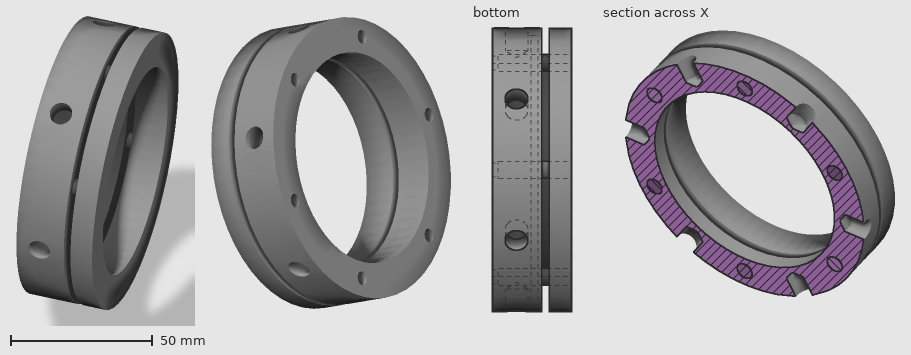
import cadquery as cq
import math

ring_length = 28.0
outer_radius = 50.0
bore_radius = 37.5

slot_width = 2.5
slot_wall = 2.5
web_thickness = 1.5
outer_slot_start = 17.5
inner_slot_start = outer_slot_start - web_thickness - slot_width
outer_slot_floor = bore_radius + slot_wall
inner_slot_floor = outer_radius - slot_wall

screw_count = 6
screw_circle_radius = 43.5
screw_diameter = 6.0
screw_recess = 2.0
access_hole_diameter = 4.9
first_screw_angle = 90.0

spanner_hole_count = 6
spanner_hole_diameter = 8.0
spanner_hole_x = 8.5
spanner_hole_depth = 8.0
drill_point_angle = 118.0
first_spanner_angle = first_screw_angle + 180.0 / screw_count


def tube(start, length, inner_radius, tube_radius):
    """Hollow cylinder around the X axis."""
    return cq.Workplane("YZ", origin=(start, 0, 0)).circle(tube_radius).circle(inner_radius).extrude(length)


def axial_rod(start, end, diameter, angle):
    """Cylinder parallel to X on the screw circle."""
    y = screw_circle_radius * math.cos(math.radians(angle))
    z = screw_circle_radius * math.sin(math.radians(angle))
    return cq.Workplane("YZ", origin=(start, y, z)).circle(diameter / 2).extrude(end - start)


def spanner_drill(angle):
    """Radial drill shape with a conical point, reaching in from the outer surface."""
    radius = spanner_hole_diameter / 2
    shoulder = outer_radius - spanner_hole_depth
    point_length = radius / math.tan(math.radians(drill_point_angle / 2))
    return (
        cq.Workplane("XY", origin=(spanner_hole_x, 0, 0))
        .moveTo(0, shoulder - point_length)
        .lineTo(radius, shoulder)
        .lineTo(radius, outer_radius)
        .lineTo(0, outer_radius)
        .close()
        .revolve(360, (0, 0, 0), (0, 1, 0))
        .rotate((0, 0, 0), (1, 0, 0), angle)
    )


def make_screw(angle):
    """Plain screw from its recessed tip to the +X face."""
    return axial_rod(screw_recess, ring_length, screw_diameter, angle)


screw_angles = [first_screw_angle + i * 360.0 / screw_count for i in range(screw_count)]
spanner_angles = [first_spanner_angle + i * 360.0 / spanner_hole_count for i in range(spanner_hole_count)]


def make_ring():
    """Slotted ring with the screw holes and spanner holes."""
    ring = tube(0, ring_length, bore_radius, outer_radius)
    ring = ring.cut(tube(outer_slot_start, slot_width, outer_slot_floor, outer_radius))
    ring = ring.cut(tube(inner_slot_start, slot_width, bore_radius, inner_slot_floor))
    for angle in screw_angles:
        ring = ring.cut(axial_rod(0, screw_recess, access_hole_diameter, angle))
        ring = ring.cut(make_screw(angle))
    for angle in spanner_angles:
        ring = ring.cut(spanner_drill(angle))
    return ring


nut_ring = make_ring()
screws = [make_screw(angle).val() for angle in screw_angles]

result = cq.Compound.makeCompound([nut_ring.val(), *screws])